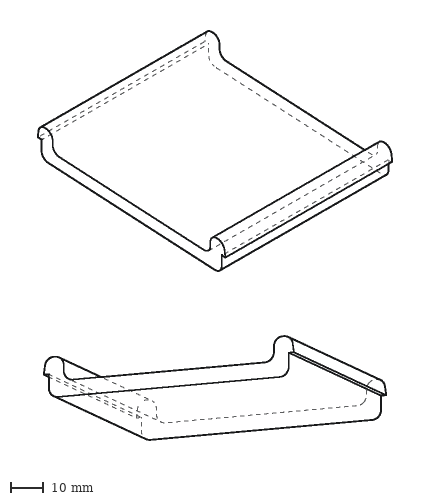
import cadquery as cq
import math

overall_width = 83.2
length = 70.1
height = 12.65
floor_thickness = 5.0
corner_radius = 3.0
lip_overhang = 1.7
wall_thickness = 5.0
lip_bottom = 7.3
lip_edge_height = 0.25
head_flat = 0.3

lip_x = overall_width / 2
wall_outer_x = lip_x - lip_overhang
wall_inner_x = wall_outer_x - wall_thickness
lip_top = lip_bottom + lip_edge_height
head_z = height - corner_radius
inner_head_x = wall_inner_x + corner_radius
outer_head_x = inner_head_x + head_flat
diagonal = corner_radius * math.sqrt(0.5)


def tangent_angle(point_x, point_z):
    """Angle on the outer head arc where a line from the point touches it."""
    dx = point_x - outer_head_x
    dz = point_z - head_z
    return math.atan2(dz, dx) + math.acos(corner_radius / math.hypot(dx, dz))


def outer_head_point(angle):
    """Point on the outer head arc at the given angle above +X."""
    return (
        outer_head_x + corner_radius * math.cos(angle),
        head_z + corner_radius * math.sin(angle),
    )


def half_profile():
    """Closed outline of the +X half of the channel."""
    flank_angle = tangent_angle(lip_x, lip_top)
    arc_middle_angle = (flank_angle + math.pi / 2) / 2
    corner_x = wall_outer_x - corner_radius
    fillet_x = wall_inner_x - corner_radius
    fillet_z = floor_thickness + corner_radius
    return (
        cq.Workplane("XZ", origin=(0, length / 2, 0))
        .moveTo(0, 0)
        .lineTo(corner_x, 0)
        .threePointArc((corner_x + diagonal, corner_radius - diagonal), (wall_outer_x, corner_radius))
        .lineTo(wall_outer_x, lip_bottom)
        .lineTo(lip_x, lip_bottom)
        .lineTo(lip_x, lip_top)
        .lineTo(*outer_head_point(flank_angle))
        .threePointArc(outer_head_point(arc_middle_angle), (outer_head_x, height))
        .lineTo(inner_head_x, height)
        .threePointArc((inner_head_x - diagonal, head_z + diagonal), (wall_inner_x, head_z))
        .lineTo(wall_inner_x, fillet_z)
        .threePointArc((fillet_x + diagonal, fillet_z - diagonal), (fillet_x, floor_thickness))
        .lineTo(0, floor_thickness)
        .close()
    )


right_half = half_profile().extrude(length)
result = right_half.union(right_half.mirror("YZ")).clean()